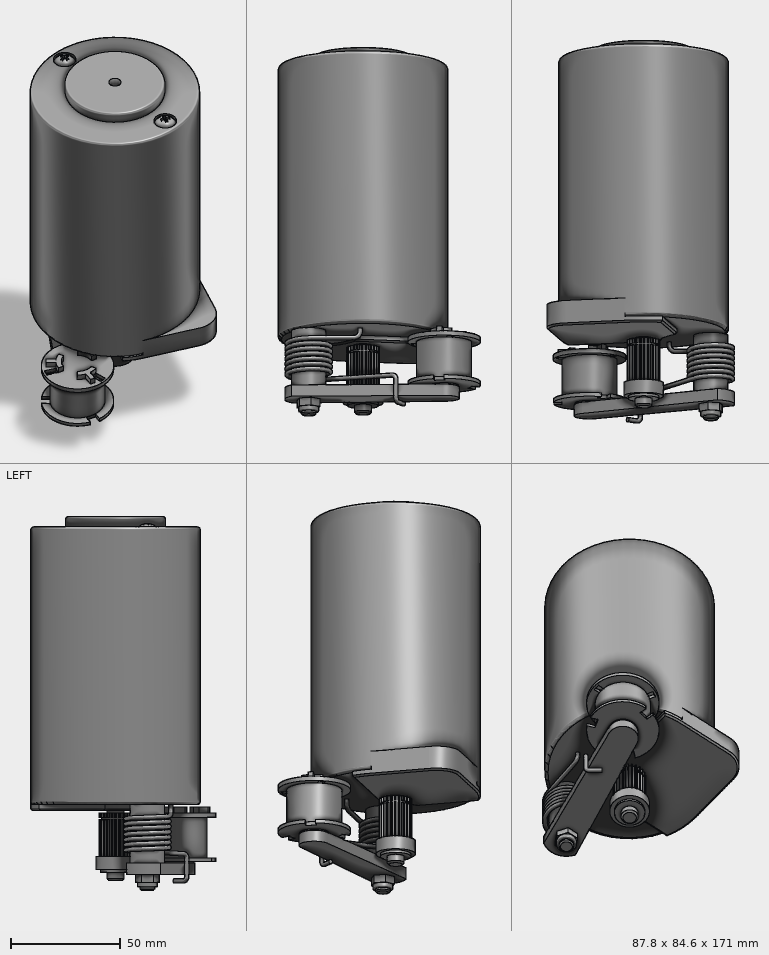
import cadquery as cq
import math

motor_radius = 38.8
motor_bottom = 39.2
motor_top = 166.2
edge_fillet = 1.5
cap_height = 8.5
corner_fillet = 11.1
hub_radius = 22.9
hub_top = 171.0
center_mark_radius = 2.7
center_mark_angle = 60.0

pad_bottom = 36.5
pad_left = -16.8
pad_front = -9.4
pad_relief_radius = 22.5
pad_chamfer = 0.9

bolt_x = -28.2
bolt_y = -14.5
bolt_radius = 3.5
bolt_bottom = 0.0
bolt_chamfer = 0.7
short_screw_bottom = 42.8
head_radius = 5.1
head_sink = 1.7
head_rise = 1.5
recess_length = 4.1
recess_width = 1.2
recess_depth = 2.0
pivot_bolt_recess_angle = 30.0
short_screw_recess_angle = 0.0

arm_top = 12.5
arm_thickness = 5.3
arm_bottom = arm_top - arm_thickness
arm_pivot_half_width = 7.9
arm_pivot_end_radius = 11.0
arm_tip_radius = 7.0
arm_boss_radius = 6.7

sleeve_radius = 7.9
nut_across_flats = 9.5
nut_hex_height = 3.6
nut_collar_radius = 4.6
nut_collar_height = 2.0
nut_collar_fillet = 0.5

spool_x = 32.0
spool_y = -29.2
spool_bottom = 13.2
spool_top = 35.4
flange_radius = 16.6
upper_flange_thickness = 2.0
lower_flange_thickness = 1.7
barrel_radius = 12.7
hook_count = 3
first_hook_angle = 10.0
hook_rise = 2.7
hook_inner_radius = 7.4
hook_outer_radius = 10.0
hook_half_angle = 30.0
hook_leg_width = 2.4
hook_leg_end = 14.4
slot_offset_angle = 20.0
slot_width = 3.0
slot_end = 15.4
notch_width = 4.8

tooth_count = 24
pinion_tip_radius = 7.5
pinion_root_radius = 6.5
pinion_top = 35.4
tooth_groove_level = 32.3
tooth_groove_width = 0.9
collar_radius = 9.0
collar_top = 15.5
collar_bottom = 9.4
step_radius = 7.0
step_bottom = 8.2
shaft_radius = 4.0
shaft_bottom = 4.5
shaft_chamfer = 0.9

wire_radius = 1.0
coil_radius = 10.0
coil_pitch = 2.4
full_turns = 6
coil_bottom = 18.1
lower_leg_angle = 50.2
upper_leg_angle = 268.0
lower_leg_length = 40.0
lower_bend_radius = 2.0
lower_hook_level = 4.3
lower_hook_length = 7.4
upper_leg_length = 22.2
upper_bend_radius = 3.0


def cylinder(x, y, radius, bottom, top):
    return cq.Workplane("XY").workplane(offset=bottom).center(x, y).circle(radius).extrude(top - bottom)


def polar(radius, degrees):
    angle = math.radians(degrees)
    return cq.Vector(radius * math.cos(angle), radius * math.sin(angle), 0)


def corner_block(bottom, height):
    """Quarter of the motor's bounding square at +X +Y, rounded at its tip."""
    return (
        cq.Workplane("XY").workplane(offset=bottom)
        .rect(motor_radius, motor_radius, centered=False).extrude(height)
        .edges("|Z and >X and >Y").fillet(corner_fillet)
    )


def make_pad():
    height = motor_bottom - pad_bottom
    window = (
        cq.Workplane("XY").workplane(offset=pad_bottom)
        .moveTo(pad_left, pad_front)
        .rect(motor_radius - pad_left, motor_radius - pad_front, centered=False).extrude(height)
    )
    relief = cylinder(bolt_x, bolt_y, pad_relief_radius, pad_bottom, motor_bottom)
    round_part = cylinder(0, 0, motor_radius, pad_bottom, motor_bottom)
    pad = round_part.union(corner_block(pad_bottom, height)).intersect(window).cut(relief)
    return pad.faces("<Z").chamfer(pad_chamfer)


def make_motor():
    can = cylinder(0, 0, motor_radius, motor_bottom, motor_top)
    can = can.faces("<Z or >Z").edges().fillet(edge_fillet)
    hub = cylinder(0, 0, hub_radius, motor_top, hub_top).faces(">Z").edges().fillet(edge_fillet)
    motor = can.union(corner_block(motor_bottom, cap_height)).union(hub).union(make_pad())
    mark_depth = center_mark_radius / math.tan(math.radians(center_mark_angle / 2))
    center_mark = cq.Workplane(cq.Solid.makeCone(
        center_mark_radius, 0, mark_depth, cq.Vector(0, 0, hub_top), cq.Vector(0, 0, -1)
    ))
    motor = motor.cut(center_mark)
    for side, hole_bottom in ((1, motor_bottom), (-1, short_screw_bottom)):
        x, y = side * bolt_x, side * bolt_y
        motor = motor.cut(cylinder(x, y, bolt_radius, hole_bottom, motor_top))
        motor = motor.cut(cylinder(x, y, head_radius, motor_top - head_sink, motor_top))
    return motor


def make_screw(x, y, bottom, recess_angle):
    """Domed cross-recess screw that stands along Z with its head sunk in the motor top."""
    seat = motor_top - head_sink
    crown = motor_top + head_rise
    head_height = crown - seat
    dome_radius = (head_radius**2 + head_height**2) / (2 * head_height)
    radius_at_motor_top = math.sqrt(dome_radius**2 - (dome_radius - head_rise) ** 2)
    head = (
        cq.Workplane("XZ").moveTo(0, seat).lineTo(head_radius, seat)
        .threePointArc((radius_at_motor_top, motor_top), (0, crown))
        .close().revolve(360, (0, 0), (0, 1))
    )
    shank = cylinder(0, 0, bolt_radius, bottom, seat).faces("<Z").chamfer(bolt_chamfer)
    recess = cq.Workplane("XY").workplane(offset=crown - recess_depth)
    screw = head.union(shank)
    for quarter_turn in (0, 90):
        bar = recess.transformed(rotate=(0, 0, recess_angle + quarter_turn))
        screw = screw.cut(bar.rect(recess_length, recess_width).extrude(recess_depth))
    return screw.translate((x, y, 0))


def make_arm():
    """Bar tapering to a round tip, its pivot end cut to an arc around the bolt."""
    run_x = spool_x - bolt_x
    run_y = spool_y - bolt_y
    length = math.hypot(run_x, run_y)
    heading = math.degrees(math.atan2(run_y, run_x))
    taper = math.asin((arm_pivot_half_width - arm_tip_radius) / length)
    tangent_x = length + arm_tip_radius * math.sin(taper)
    tangent_y = arm_tip_radius * math.cos(taper)
    end_x = -arm_pivot_end_radius
    end_half_width = tangent_y + (tangent_x - end_x) * math.tan(taper)
    bar = (
        cq.Workplane("XY")
        .moveTo(end_x, -end_half_width)
        .lineTo(tangent_x, -tangent_y)
        .threePointArc((length + arm_tip_radius, 0), (tangent_x, tangent_y))
        .lineTo(end_x, end_half_width)
        .close().extrude(arm_thickness)
    )
    reach = length + arm_tip_radius
    pivot_end = cq.Workplane("XY").circle(arm_pivot_end_radius).extrude(arm_thickness)
    beyond_pivot = (
        cq.Workplane("XY").moveTo(0, -reach).rect(reach, 2 * reach, centered=False)
        .extrude(arm_thickness)
    )
    bar = bar.intersect(pivot_end.union(beyond_pivot))
    bar = bar.rotate((0, 0, 0), (0, 0, 1), heading).translate((bolt_x, bolt_y, arm_bottom))
    boss = cylinder(spool_x, spool_y, arm_boss_radius, arm_top, spool_bottom)
    return bar.union(boss).cut(cylinder(bolt_x, bolt_y, bolt_radius, arm_bottom, arm_top))


def make_sleeve():
    sleeve = cylinder(bolt_x, bolt_y, sleeve_radius, arm_top, motor_bottom)
    return sleeve.cut(cylinder(bolt_x, bolt_y, bolt_radius, arm_top, motor_bottom))


def make_nut():
    hex_bottom = arm_bottom - nut_hex_height
    collar_end = hex_bottom - nut_collar_height
    half_side_angle = 180 / 6
    corner_diameter = nut_across_flats / math.cos(math.radians(half_side_angle))
    hexagon = (
        cq.Workplane("XY").workplane(offset=hex_bottom)
        .polygon(6, corner_diameter).extrude(nut_hex_height)
        .rotate((0, 0, 0), (0, 0, 1), half_side_angle).translate((bolt_x, bolt_y, 0))
    )
    collar = cylinder(bolt_x, bolt_y, nut_collar_radius, collar_end, hex_bottom)
    collar = collar.faces("<Z").edges().fillet(nut_collar_fillet)
    return hexagon.union(collar).cut(cylinder(bolt_x, bolt_y, bolt_radius, collar_end, arm_bottom))


def radial_bar(start, end, width, bottom, height, angle):
    return (
        cq.Workplane("XY").workplane(offset=bottom)
        .moveTo(start, -width / 2).rect(end - start, width, centered=False).extrude(height)
        .rotate((0, 0, 0), (0, 0, 1), angle)
    )


def make_hook(angle):
    """Raised T: an arc-shaped bar with a leg that points outward."""
    outer_start = polar(hook_outer_radius, -hook_half_angle)
    outer_end = polar(hook_outer_radius, hook_half_angle)
    inner_end = polar(hook_inner_radius, hook_half_angle)
    inner_start = polar(hook_inner_radius, -hook_half_angle)
    arc_bar = (
        cq.Workplane("XY").workplane(offset=spool_top)
        .moveTo(outer_start.x, outer_start.y)
        .threePointArc((hook_outer_radius, 0), (outer_end.x, outer_end.y))
        .lineTo(inner_end.x, inner_end.y)
        .threePointArc((hook_inner_radius, 0), (inner_start.x, inner_start.y))
        .close().extrude(hook_rise)
        .rotate((0, 0, 0), (0, 0, 1), angle)
    )
    leg = radial_bar(hook_inner_radius, hook_leg_end, hook_leg_width, spool_top, hook_rise, angle)
    return arc_bar.union(leg)


def make_spool():
    upper_flange_bottom = spool_top - upper_flange_thickness
    lower_flange_top = spool_bottom + lower_flange_thickness
    spool = cylinder(0, 0, barrel_radius, spool_bottom, spool_top)
    spool = spool.union(cylinder(0, 0, flange_radius, upper_flange_bottom, spool_top))
    spool = spool.union(cylinder(0, 0, flange_radius, spool_bottom, lower_flange_top))
    for index in range(hook_count):
        angle = first_hook_angle + index * 360 / hook_count
        slot = radial_bar(hook_outer_radius, slot_end, slot_width, upper_flange_bottom,
                          upper_flange_thickness, angle + slot_offset_angle)
        notch = radial_bar(barrel_radius, flange_radius + notch_width, notch_width, spool_bottom,
                           lower_flange_thickness, angle)
        spool = spool.cut(slot).cut(notch).union(make_hook(angle))
    return spool.translate((spool_x, spool_y, 0))


def make_pinion():
    pitch_angle = 360 / tooth_count
    outline = []
    for index in range(tooth_count):
        for radius, share in ((pinion_root_radius, -0.25), (pinion_tip_radius, -0.125),
                              (pinion_tip_radius, 0.125), (pinion_root_radius, 0.25)):
            point = polar(radius, (index + share) * pitch_angle)
            outline.append((point.x, point.y))
    teeth = (
        cq.Workplane("XY").workplane(offset=collar_top)
        .polyline(outline).close().extrude(pinion_top - collar_top)
    )
    groove = (
        cq.Workplane("XY").workplane(offset=tooth_groove_level)
        .circle(collar_radius).circle(pinion_root_radius)
        .extrude(tooth_groove_width)
    )
    shaft = cylinder(0, 0, shaft_radius, shaft_bottom, pad_bottom).faces("<Z").chamfer(shaft_chamfer)
    pinion = teeth.cut(groove).union(shaft)
    pinion = pinion.union(cylinder(0, 0, collar_radius, collar_bottom, collar_top))
    return pinion.union(cylinder(0, 0, step_radius, step_bottom, collar_bottom))


def bent_wire(points, bend_radius):
    """Straight edges through the points, with a tangent bend at each inner point."""
    edges = []
    start = points[0]
    for before, corner, after in zip(points, points[1:], points[2:]):
        back = (before - corner).normalized()
        ahead = (after - corner).normalized()
        half_angle = back.getAngle(ahead) / 2
        bend_start = corner + back * (bend_radius / math.tan(half_angle))
        bend_end = corner + ahead * (bend_radius / math.tan(half_angle))
        inward = (back + ahead).normalized()
        bend_middle = corner + inward * (bend_radius / math.sin(half_angle) - bend_radius)
        edges.append(cq.Edge.makeLine(start, bend_start))
        edges.append(cq.Edge.makeThreePointArc(bend_start, bend_middle, bend_end))
        start = bend_end
    edges.append(cq.Edge.makeLine(start, points[-1]))
    return edges


def make_spring():
    axis = cq.Vector(bolt_x, bolt_y, 0)
    up = cq.Vector(0, 0, 1)
    coil_turn = full_turns * 360 + upper_leg_angle - lower_leg_angle
    coil_height = coil_pitch * coil_turn / 360
    leg_slope = coil_pitch / (2 * math.pi * coil_radius)
    coil = (
        cq.Wire.makeHelix(coil_pitch, coil_height, coil_radius)
        .rotate(cq.Vector(0, 0, 0), up, lower_leg_angle)
        .translate(axis + up * coil_bottom)
    )

    leg_start = axis + polar(coil_radius, lower_leg_angle) + up * coil_bottom
    leg_end = leg_start + (polar(1, lower_leg_angle - 90) - up * leg_slope) * lower_leg_length
    hook_corner = cq.Vector(leg_end.x, leg_end.y, lower_hook_level)
    hook_end = hook_corner + polar(lower_hook_length, lower_leg_angle)
    lower_leg = bent_wire([hook_end, hook_corner, leg_end, leg_start], lower_bend_radius)

    leg_start = axis + polar(coil_radius, upper_leg_angle) + up * (coil_bottom + coil_height)
    leg_end = leg_start + (polar(1, upper_leg_angle + 90) + up * leg_slope) * upper_leg_length
    motor_contact = cq.Vector(leg_end.x, leg_end.y, motor_bottom)
    upper_leg = bent_wire([leg_start, leg_end, motor_contact], upper_bend_radius)

    path = cq.Wire.assembleEdges(lower_leg + coil.Edges() + upper_leg)
    hook_plane = cq.Plane(origin=hook_end, normal=polar(1, lower_leg_angle))
    return cq.Workplane(hook_plane).circle(wire_radius).sweep(cq.Workplane(path))


motor = make_motor()
pivot_bolt = make_screw(bolt_x, bolt_y, bolt_bottom, pivot_bolt_recess_angle)
short_screw = make_screw(-bolt_x, -bolt_y, short_screw_bottom, short_screw_recess_angle)
arm = make_arm()
sleeve = make_sleeve()
nut = make_nut()
spool = make_spool()
pinion = make_pinion()
spring = make_spring()

result = cq.Compound.makeCompound([
    motor.val(), pivot_bolt.val(), short_screw.val(), arm.val(), sleeve.val(),
    nut.val(), spool.val(), pinion.val(), spring.val(),
])